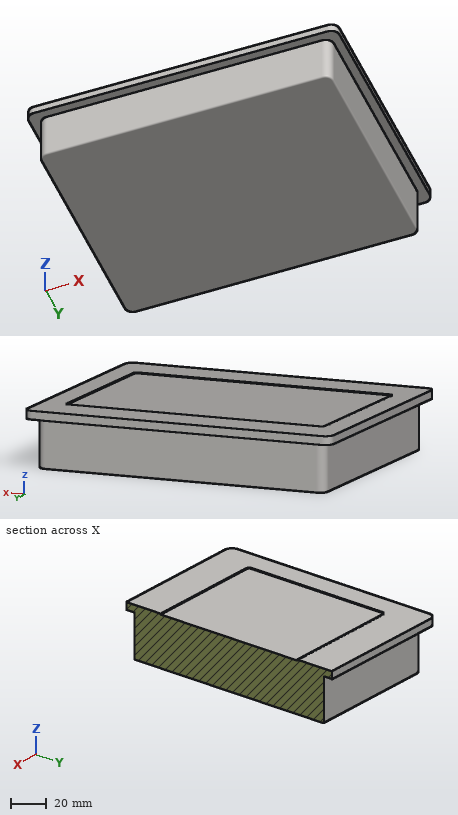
import cadquery as cq

plate_length = 187.0
plate_width = 147.0
plate_thickness = 5.0
corner_radius = 5.0

total_height = 34.0
housing_length = 176.0
housing_width = 136.0
bottom_edge_radius = 1.1
housing_height = total_height - plate_thickness

screen_length = 157.3
screen_width = 97.6
screen_corner_radius = 2.0
screen_depth = 0.5


def rounded_block(length, width, height, radius, base_z):
    """Block centred on the Z axis, with rounded vertical edges."""
    block = cq.Workplane("XY").box(length, width, height, centered=(True, True, False))
    return block.edges("|Z").fillet(radius).translate((0, 0, base_z))


housing = rounded_block(housing_length, housing_width, housing_height, corner_radius, 0)
housing = housing.faces("<Z").edges().fillet(bottom_edge_radius)

plate = rounded_block(plate_length, plate_width, plate_thickness, corner_radius, housing_height)

screen_recess = rounded_block(
    screen_length, screen_width, screen_depth, screen_corner_radius, total_height - screen_depth
)

result = housing.union(plate).cut(screen_recess)